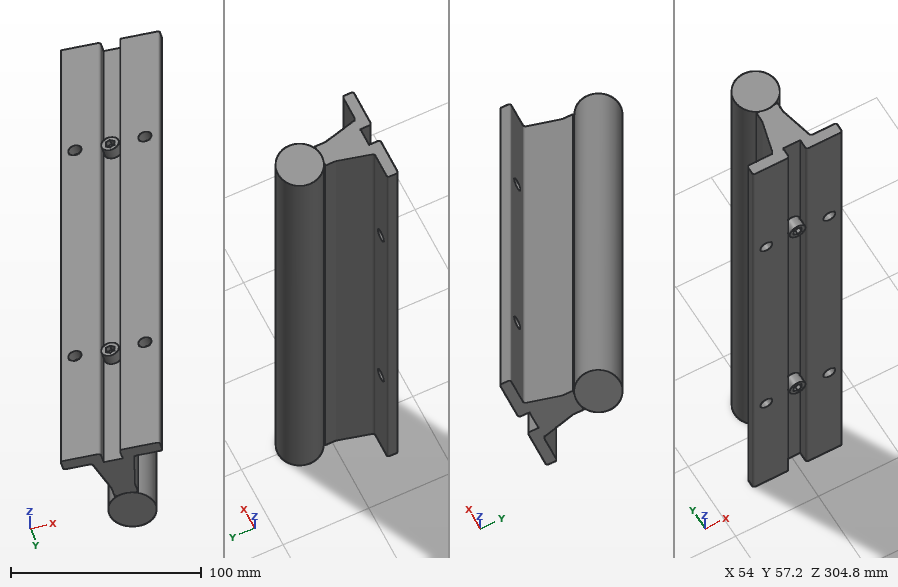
import cadquery as cq


length = 304.8
shaft_diameter = 25.4
shaft_axis_y = 44.45

base_width = 53.98
base_thickness = 6.35
base_edge_fillet = 1.27
web_root_width = 22.8
taper_top_y = 26.4
web_root_fillet = 1.6
rail_top_y = 32.5
neck_width = 12.7

groove_width = 10.32
groove_depth = 6.5
groove_mouth_fillet = 1.5

row_spacing = 152.4
row_positions = [-row_spacing / 2, row_spacing / 2]
mount_hole_diameter = 7.14
mount_hole_spacing = 38.1

thread_diameter = 6.35
head_diameter = 9.525
head_height = 6.35
socket_across_flats = 4.76
socket_depth = 3.2


def cylinder_along_y(x, z, start_y, end_y, diameter):
    """Return a round solid parallel to Y between two Y positions."""
    base_center = cq.Vector(x, start_y, z)
    return cq.Solid.makeCylinder(diameter / 2, end_y - start_y, base_center, cq.Vector(0, 1, 0))


def extrude_plane():
    """Return the XY workplane at the lower end of the rail and shaft."""
    return cq.Workplane("XY", origin=(0, 0, -length / 2))


def make_screw_shank(z):
    """Plain screw shank, which is also the shape of its matching hole."""
    return cylinder_along_y(0, z, groove_depth, shaft_axis_y, thread_diameter)


def make_plain_shaft():
    """Full shaft cylinder without holes."""
    return extrude_plane().center(0, shaft_axis_y).circle(shaft_diameter / 2).extrude(length)


def fillet_mirrored_edges(body, x, y, radius):
    """Round the two lengthwise edges at (x, y) and (-x, y)."""
    for edge_x in (-x, x):
        body = body.edges(cq.selectors.NearestToPointSelector((edge_x, y, 0))).fillet(radius)
    return body


def make_rail_body():
    """Flat base, tapered web and straight neck as one constant cross-section with a groove."""
    half_base = base_width / 2
    half_root = web_root_width / 2
    half_neck = neck_width / 2
    half_groove = groove_width / 2
    right_side = [
        (half_groove, groove_depth),
        (half_groove, 0),
        (half_base, 0),
        (half_base, base_thickness),
        (half_root, base_thickness),
        (half_neck, taper_top_y),
        (half_neck, rail_top_y),
    ]
    left_side = [(-x, y) for x, y in reversed(right_side)]
    body = extrude_plane().polyline(right_side + left_side).close().extrude(length)
    body = fillet_mirrored_edges(body, half_groove, 0, groove_mouth_fillet)
    body = fillet_mirrored_edges(body, half_base, 0, base_edge_fillet)
    body = fillet_mirrored_edges(body, half_base, base_thickness, base_edge_fillet)
    return fillet_mirrored_edges(body, half_root, base_thickness, web_root_fillet)


def make_rail():
    """Rail with a shallow cradle for the shaft, screw holes and plain mounting holes."""
    rail = make_rail_body().cut(make_plain_shaft())
    for z in row_positions:
        rail = rail.cut(make_screw_shank(z))
        for x in (-mount_hole_spacing / 2, mount_hole_spacing / 2):
            rail = rail.cut(cylinder_along_y(x, z, 0, base_thickness, mount_hole_diameter))
    return rail


def make_shaft():
    """Round shaft with a blind hole for each screw."""
    shaft = make_plain_shaft()
    for z in row_positions:
        shaft = shaft.cut(make_screw_shank(z))
    return shaft


def make_screw(z):
    """Socket head screw with its head seated on the groove floor."""
    head_face_y = groove_depth - head_height
    head = cylinder_along_y(0, z, head_face_y, groove_depth, head_diameter)
    socket = (
        cq.Workplane("XZ", origin=(0, head_face_y, z))
        .polygon(6, socket_across_flats, circumscribed=True)
        .extrude(-socket_depth)
    )
    shank = make_screw_shank(z)
    return cq.Workplane(head).union(cq.Workplane(shank)).cut(socket)


rail = make_rail()
shaft = make_shaft()
screws = [make_screw(z).val() for z in row_positions]

result = cq.Compound.makeCompound([rail.val(), shaft.val(), *screws])